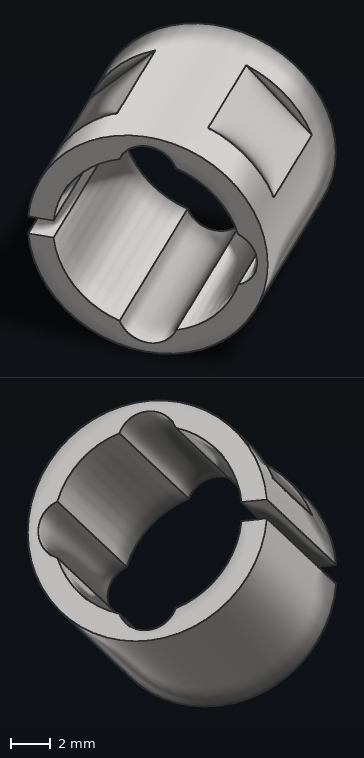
import cadquery as cq
import math

outer_radius = 6.35
bore_radius = 5.0
length = 11.4
slit_width = 1.0

groove_reach = 5.79
groove_radius = 1.6
groove_angles = (-90, 0, 90)

flat_distance = 5.85
flat_length = 6.35
flat_angles = (45, 135)


def cylinder_along_y(radius, x=0.0, z=0.0):
    """Cylinder over the full sleeve length, with its axis at (x, z)."""
    return cq.Workplane("XZ").center(x, z).circle(radius).extrude(length / 2, both=True)


def bore_groove(angle):
    offset = groove_reach - groove_radius
    direction = math.radians(angle)
    return cylinder_along_y(groove_radius, offset * math.cos(direction), offset * math.sin(direction))


def flat_cutter(angle):
    """Block outside the flat, turned from +X towards +Z."""
    block = cq.Workplane("XY").box(
        outer_radius, flat_length, 2 * outer_radius, centered=(False, True, True)
    )
    return block.translate((flat_distance, 0, 0)).rotate((0, 0, 0), (0, 1, 0), -angle)


sleeve = cylinder_along_y(outer_radius).cut(cylinder_along_y(bore_radius))

for groove_angle in groove_angles:
    sleeve = sleeve.cut(bore_groove(groove_angle))

for flat_angle in flat_angles:
    sleeve = sleeve.cut(flat_cutter(flat_angle))

slit = cq.Workplane("XY").box(2 * outer_radius, length, slit_width).translate((-outer_radius, 0, 0))
result = sleeve.cut(slit)